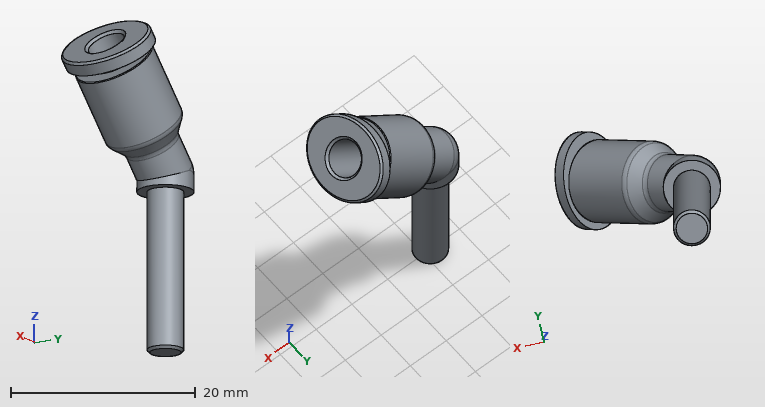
import cadquery as cq

stem_diameter = 4.0
stem_length = 18.0
stem_chamfer = 0.3

elbow_radius = 3.1
collar_height = 2.0
bend_angle = 45.0

body_radius = 4.5
cone_start = 4.05
cone_end = 5.95
body_end = 14.7
cone_blend_radius = 1.0
body_end_chamfer = 0.1

sleeve_neck_radius = 2.75
flange_start = 15.5
flange_end = 17.1
flange_half_width = 4.3
flange_half_length = 5.4
flange_chamfer = 0.25

bore_radius = 2.1
bore_chamfer = 0.3


def make_stem():
    stem_bottom = -collar_height - stem_length
    stem = cq.Workplane("XY").workplane(offset=stem_bottom).circle(stem_diameter / 2).extrude(stem_length)
    return stem.faces("<Z").chamfer(stem_chamfer)


def make_body():
    """Upright neck, cone and cylinder turned about Z, with both ends of the cone blended."""
    body = (
        cq.Workplane("XZ")
        .lineTo(elbow_radius, 0)
        .lineTo(elbow_radius, cone_start)
        .lineTo(body_radius, cone_end)
        .lineTo(body_radius, body_end)
        .lineTo(0, body_end)
        .close()
        .revolve(360, (0, 0, 0), (0, 1, 0))
    )
    body = body.faces("%CONE").edges("%CIRCLE").fillet(cone_blend_radius)
    return body.faces(">Z").chamfer(body_end_chamfer)


def make_release_sleeve():
    """Upright neck and oval flange, the flange being longest along Y."""
    neck = cq.Workplane("XY").workplane(offset=body_end).circle(sleeve_neck_radius)
    neck = neck.extrude(flange_start - body_end)
    flange = (
        cq.Workplane("XY")
        .workplane(offset=flange_start)
        .ellipse(flange_half_width, flange_half_length)
        .extrude(flange_end - flange_start)
        .faces(">Z")
        .chamfer(flange_chamfer)
    )
    return neck.union(flange)


def cut_bore(socket):
    """Blind bore from the flange face, with a chamfered mouth."""
    bore_depth = flange_end - cone_end
    socket = socket.faces(">Z").workplane(origin=(0, 0, flange_end)).hole(2 * bore_radius, bore_depth)
    return socket.faces(">Z").edges("%CIRCLE").chamfer(bore_chamfer)


def make_socket():
    """Body and release sleeve, built upright and then tipped towards +X."""
    socket = cut_bore(make_body().union(make_release_sleeve()))
    return socket.rotate((0, 0, 0), (0, 1, 0), bend_angle)


def make_fitting():
    """Collar, ball and socket, trimmed flush with the collar's lower face, plus the stem."""
    collar = cq.Workplane("XY").circle(elbow_radius).extrude(-collar_height)
    ball = cq.Workplane("XY").sphere(elbow_radius)
    below_collar = (
        cq.Workplane("XY")
        .workplane(offset=-collar_height)
        .circle(2 * elbow_radius)
        .extrude(-2 * elbow_radius)
    )
    elbow = collar.union(ball).union(make_socket()).cut(below_collar)
    return elbow.union(make_stem())


result = make_fitting()